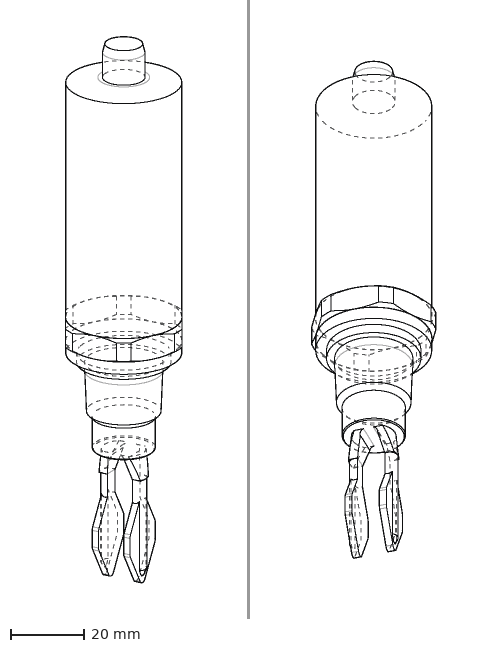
import cadquery as cq
import math

total_height = 157.5

body_radius = 15.9
body_bottom = 77.0
body_top = 146.2
lid_top = 147.5
lid_land_radius = 7.1
connector_radius = 5.8
connector_tip_radius = 5.2
connector_shoulder = 155.0

nut_across_flats = 32.0
nut_across_corners = 34.8
nut_bottom = 70.1
nut_bevel_height = 0.8

collar_bottom = 66.5
seal_radius = 12.9
seal_bottom = 63.8
thread_radius = 10.7
thread_taper_start = 61.3
thread_end_radius = 10.2
thread_end = 49.3
neck_radius = 8.7
neck_bottom = 38.3
neck_chamfer = 0.3

fork_inner_x = 4.0
leg_bottom = 30.7
leg_top_radius = 6.1
leg_bottom_radius = 7.0
leg_top_half_width = 4.5
crotch_half_width = 1.4
crotch_arc_x = 2.5
crotch_arc_z = 36.7
crotch_arc_mid = (2.2, 37.8)

rod_radius = 2.2
rod_center_x = leg_bottom_radius - rod_radius
rod_taper_start = 4.1
rod_end = 2.2
rod_end_radius = 1.4

paddle_thickness = 2.0
paddle_half_width = 7.0
paddle_upper_corner = 15.9
paddle_flank_angle = math.radians(31)
paddle_corner_rounding = 1.9
paddle_tip_rounding = 1.5


def turned(points):
    """Revolve an outline of (radius, height) points about Z."""
    return cq.Workplane("XZ").polyline(points).close().revolve(360, (0, 0, 0), (0, 1, 0))


def make_housing():
    return turned([
        (0, body_bottom),
        (body_radius, body_bottom),
        (body_radius, body_top),
        (lid_land_radius, lid_top),
        (connector_radius, lid_top),
        (connector_radius, connector_shoulder),
        (connector_tip_radius, total_height),
        (0, total_height),
    ])


def make_nut():
    flat_radius = nut_across_flats / 2
    corner_radius = nut_across_corners / 2
    sharp_diameter = nut_across_flats / math.cos(math.pi / 6)
    hexagon = (
        cq.Workplane("XY", origin=(0, 0, nut_bottom))
        .polygon(6, sharp_diameter)
        .extrude(body_bottom - nut_bottom)
    )
    beveled_blank = turned([
        (0, nut_bottom),
        (flat_radius, nut_bottom),
        (corner_radius, nut_bottom + nut_bevel_height),
        (corner_radius, body_bottom - nut_bevel_height),
        (flat_radius, body_bottom),
        (0, body_bottom),
    ])
    return hexagon.intersect(beveled_blank)


def make_process_connection():
    thread_end_chamfer = thread_end_radius - neck_radius
    return turned([
        (0, nut_bottom),
        (body_radius, nut_bottom),
        (body_radius, collar_bottom),
        (seal_radius, collar_bottom),
        (seal_radius, seal_bottom),
        (thread_radius, seal_bottom),
        (thread_radius, thread_taper_start),
        (thread_end_radius, thread_end),
        (neck_radius, thread_end - thread_end_chamfer),
        (neck_radius, neck_bottom + neck_chamfer),
        (neck_radius - neck_chamfer, neck_bottom),
        (0, neck_bottom),
    ])


def make_legs():
    """Both legs: a cone narrowed in Y towards the rods and split by the crotch."""
    cone = turned([
        (0, leg_bottom),
        (leg_bottom_radius, leg_bottom),
        (leg_top_radius, neck_bottom),
        (0, neck_bottom),
    ])
    wedge = (
        cq.Workplane("YZ")
        .polyline([
            (-rod_radius, leg_bottom),
            (rod_radius, leg_bottom),
            (leg_top_half_width, neck_bottom),
            (-leg_top_half_width, neck_bottom),
        ])
        .close()
        .extrude(leg_bottom_radius, both=True)
    )
    arc_x, arc_z = crotch_arc_mid
    crotch = (
        cq.Workplane("XZ")
        .moveTo(-fork_inner_x, leg_bottom)
        .lineTo(fork_inner_x, leg_bottom)
        .lineTo(crotch_arc_x, crotch_arc_z)
        .threePointArc((arc_x, arc_z), (crotch_half_width, neck_bottom))
        .lineTo(-crotch_half_width, neck_bottom)
        .threePointArc((-arc_x, arc_z), (-crotch_arc_x, crotch_arc_z))
        .close()
        .extrude(leg_bottom_radius, both=True)
    )
    return cone.intersect(wedge).cut(crotch)


def make_rod():
    """Round rod with a tapered end, flattened on the side facing the gap."""
    rod = turned([
        (0, rod_end),
        (rod_end_radius, rod_end),
        (rod_radius, rod_taper_start),
        (rod_radius, leg_bottom),
        (0, leg_bottom),
    ]).translate((rod_center_x, 0, 0))
    gap = cq.Workplane("XY").box(
        2 * fork_inner_x, 2 * leg_bottom_radius, total_height, centered=(True, True, False)
    )
    return rod.cut(gap)


def make_paddle():
    flank_height = paddle_half_width / math.tan(paddle_flank_angle)
    lower_apex = paddle_tip_rounding - paddle_tip_rounding / math.sin(paddle_flank_angle)
    lower_corner = lower_apex + flank_height
    upper_apex = paddle_upper_corner + flank_height
    return (
        cq.Workplane("YZ", origin=(fork_inner_x, 0, 0))
        .polyline([
            (0, lower_apex),
            (paddle_half_width, lower_corner),
            (paddle_half_width, paddle_upper_corner),
            (0, upper_apex),
            (-paddle_half_width, paddle_upper_corner),
            (-paddle_half_width, lower_corner),
        ])
        .close()
        .extrude(paddle_thickness)
        .edges("|X and (<Y or >Y)")
        .fillet(paddle_corner_rounding)
        .edges("|X")
        .edges("<Z")
        .fillet(paddle_tip_rounding)
    )


tine = make_rod().union(make_paddle())

result = (
    make_housing()
    .union(make_nut())
    .union(make_process_connection())
    .union(make_legs())
    .union(tine)
    .union(tine.mirror("YZ"))
)